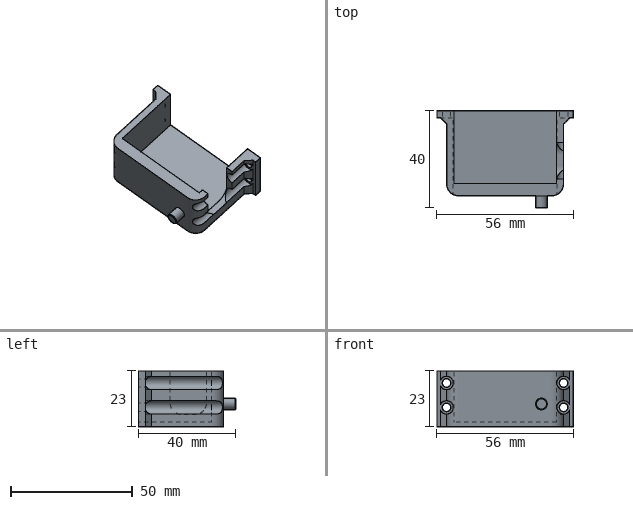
import cadquery as cq

height = 23.0
body_width = 48.0
body_depth = 35.0
side_wall = 3.0
front_wall = 5.0
floor_thickness = 2.0
corner_radius = 5.0

flange_width = 56.0
flange_thickness = 3.0
gusset = 2.5

hole_diameter = 3.4
groove_diameter = 5.5
hole_heights = (8.0, 18.0)

notch_width = 15.0
notch_center_y = -20.5
notch_bottom = 5.0
notch_radius = 5.0

pin_diameter = 4.8
pin_length = 5.0
pin_x = 14.9
pin_z = 9.4
pin_chamfer = 0.3

half_body = body_width / 2
half_flange = flange_width / 2


def along_y(diameter, x, z, y_front, y_back):
    """Cylinder parallel to Y between two Y positions."""
    return (
        cq.Workplane("XZ", origin=(x, y_front, z))
        .circle(diameter / 2)
        .extrude(y_front - y_back)
    )


def make_shell():
    """Flanged outline with rounded front corners, hollowed down to the floor."""
    gusset_foot_y = -flange_thickness - gusset
    body = (
        cq.Workplane("XY")
        .polyline([
            (-half_flange, 0),
            (half_flange, 0),
            (half_flange, -flange_thickness),
            (half_body + gusset, -flange_thickness),
            (half_body, gusset_foot_y),
            (half_body, -body_depth),
            (-half_body, -body_depth),
            (-half_body, gusset_foot_y),
            (-half_body - gusset, -flange_thickness),
            (-half_flange, -flange_thickness),
        ])
        .close()
        .extrude(height)
    )
    body = body.edges("|Z and <Y").fillet(corner_radius)
    cavity = cq.Workplane("XY", origin=(0, 0, floor_thickness)).box(
        body_width - 2 * side_wall,
        2 * (body_depth - front_wall),
        height,
        centered=(True, True, False),
    )
    return body.cut(cavity)


def cut_screw_holes(body):
    """Flange screw holes, each in line with a groove along the outside of a wall."""
    for x in (-half_body, half_body):
        for z in hole_heights:
            groove = along_y(groove_diameter, x, z, -body_depth, -flange_thickness)
            hole = along_y(hole_diameter, x, z, -flange_thickness, 0)
            body = body.cut(groove).cut(hole)
    return body


def cut_notch(body):
    """U-shaped notch through the +X wall only."""
    notch = (
        cq.Workplane("XY", origin=(half_body - side_wall, notch_center_y, notch_bottom))
        .box(side_wall, notch_width, height, centered=(False, True, False))
        .edges("|X and <Z")
        .fillet(notch_radius)
    )
    return body.cut(notch)


def make_pin():
    """Front pin with a chamfered tip."""
    pin = along_y(pin_diameter, pin_x, pin_z, -body_depth - pin_length, -body_depth)
    return pin.faces("<Y").chamfer(pin_chamfer)


result = cut_notch(cut_screw_holes(make_shell())).union(make_pin())